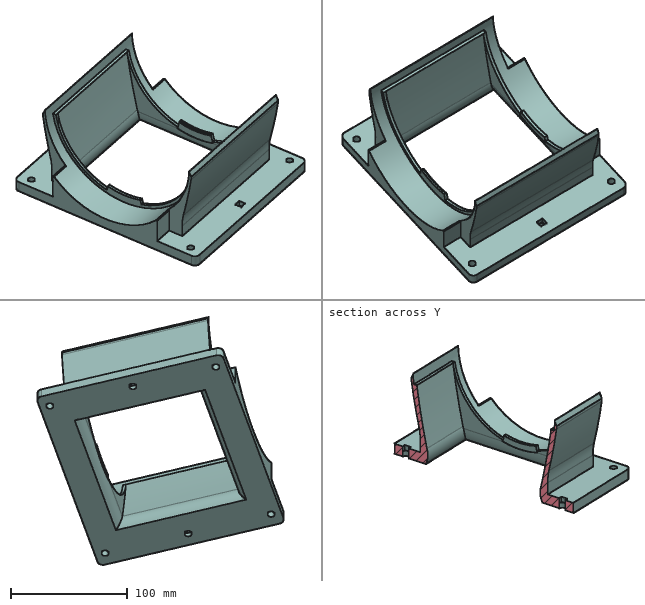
import cadquery as cq
import math

length = 190
width = 166.0
height = 83.2
base_thickness = 10.0
corner_radius = 5.0

cradle_radius = 75.0
axis_z = base_thickness + cradle_radius
lip_radius = 72.0
lip_half_width = 54.7
ledge_z = 73.2

block_half_length = 54.3
block_top = 32.1
wall_width = 130.3
wall_foot_x = 68.0
wall_bend_start_z = 21.7
wall_bend_end = (69.2, 33.5)
wall_bend_middle = (68.2, 27.5)
wall_curve_middle = (73.5, 53.4)
wall_shoulder_x = 77.3
wall_shoulder_bottom = 76
wall_shoulder_top = 78.3

opening_half_length = 59.3
opening_half_width = 51.9
flare_radius = 18.8
side_flare_z = 9.5
end_flare_z = 14.0
flare_end_angle = math.radians(20)
opening_top_x = math.sqrt(lip_radius**2 - (axis_z - ledge_z) ** 2)
opening_curve_middle = (66.3, 44.6)

tab_half_angle = math.radians(14.6)
front_tab_radius = 67.5
back_tab_radius = 65.0
back_tab_bevel = 1.0

hole_diameter = 6.0
hole_x = 83.0
hole_y = 74.1
square_pocket_side = 6.0
square_pocket_depth = 5.0


def along_y(profile, half_width):
    """Extrude an XZ profile equally to both sides of the XZ plane."""
    return profile.extrude(half_width, both=True)


def mirrored_x(body):
    return body.union(body.mirror("YZ"))


def cradle_cylinder(radius, half_width):
    return along_y(cq.Workplane("XZ").center(0, axis_z).circle(radius), half_width)


def make_base():
    plate = cq.Workplane("XY").rect(length, width).extrude(base_thickness)
    return plate.edges("|Z").fillet(corner_radius)


def make_blocks():
    return cq.Workplane("XY").rect(2 * block_half_length, width).extrude(block_top)


def make_walls():
    tip_x = math.sqrt(cradle_radius**2 - (axis_z - height) ** 2)
    profile = (
        cq.Workplane("XZ")
        .moveTo(0, 0)
        .lineTo(wall_foot_x, 0)
        .lineTo(wall_foot_x, wall_bend_start_z)
        .threePointArc(wall_bend_middle, wall_bend_end)
        .threePointArc(wall_curve_middle, (wall_shoulder_x, wall_shoulder_bottom))
        .lineTo(wall_shoulder_x, wall_shoulder_top)
        .lineTo(tip_x, height)
        .lineTo(0, height)
        .close()
    )
    return mirrored_x(along_y(profile, wall_width / 2))


def make_cradle_cut():
    """Full-radius cradle, leaving the lip below the ledge between the end ribs."""
    lip = cq.Workplane("XY").rect(length, 2 * lip_half_width).extrude(ledge_z)
    cradle = cradle_cylinder(cradle_radius, width)
    return cradle.cut(lip).union(cradle_cylinder(lip_radius, lip_half_width))


def flare_point(half_size, centre_z, angle):
    """Point on the underside flare, at an angle above its vertical tangent."""
    centre = half_size + flare_radius
    return (
        centre - flare_radius * math.cos(angle),
        centre_z + flare_radius * math.sin(angle),
    )


def make_opening():
    """Tapered sides and straight ends, both rounded outwards at the underside."""
    side_bottom_angle = -math.asin(side_flare_z / flare_radius)
    end_bottom_angle = -math.asin(end_flare_z / flare_radius)
    side_profile = (
        cq.Workplane("XZ")
        .moveTo(0, 0)
        .lineTo(*flare_point(opening_half_length, side_flare_z, side_bottom_angle))
        .threePointArc(
            flare_point(opening_half_length, side_flare_z, 0),
            flare_point(opening_half_length, side_flare_z, flare_end_angle),
        )
        .threePointArc(opening_curve_middle, (opening_top_x, ledge_z))
        .lineTo(0, ledge_z)
        .close()
    )
    ends = (
        cq.Workplane("YZ")
        .moveTo(0, 0)
        .lineTo(*flare_point(opening_half_width, end_flare_z, end_bottom_angle))
        .threePointArc(
            flare_point(opening_half_width, end_flare_z, end_bottom_angle / 2),
            flare_point(opening_half_width, end_flare_z, 0),
        )
        .lineTo(opening_half_width, ledge_z)
        .lineTo(0, ledge_z)
        .close()
        .extrude(length / 2, both=True)
    )
    ends = ends.union(ends.mirror("XZ"))
    return mirrored_x(along_y(side_profile, width / 2)).intersect(ends)


def make_tab(tip_radius):
    """Arc segment standing on the lip at the +Y end, centred on the lowest line."""
    root_radius = (lip_radius + cradle_radius) / 2
    sweep = math.degrees(2 * tab_half_angle)
    return (
        cq.Workplane("YZ")
        .moveTo(opening_half_width, axis_z - root_radius)
        .lineTo(lip_half_width, axis_z - root_radius)
        .lineTo(lip_half_width, axis_z - tip_radius)
        .lineTo(opening_half_width, axis_z - tip_radius)
        .close()
        .revolve(sweep, (0, axis_z), (1, axis_z))
        .rotate((0, 0, axis_z), (0, 1, axis_z), -sweep / 2)
    )


def make_tabs():
    """Plain low tab at the front; taller tab at the back, bevelled along its inner edge."""
    front_tab = make_tab(front_tab_radius).mirror("XZ")
    inner_edge = cq.selectors.NearestToPointSelector(
        (0, opening_half_width, axis_z - back_tab_radius)
    )
    back_tab = make_tab(back_tab_radius).edges(inner_edge).chamfer(back_tab_bevel)
    return front_tab.union(back_tab)


def cut_fixing_holes(body):
    hole_points = [(x, y) for x in (-hole_x, hole_x) for y in (-hole_y, 0, hole_y)]
    holes = (
        cq.Workplane("XY")
        .pushPoints(hole_points)
        .circle(hole_diameter / 2)
        .extrude(base_thickness)
    )
    pockets = (
        cq.Workplane("XY", origin=(0, 0, base_thickness - square_pocket_depth))
        .pushPoints([(-hole_x, 0), (hole_x, 0)])
        .rect(square_pocket_side, square_pocket_side)
        .extrude(square_pocket_depth)
    )
    return body.cut(holes).cut(pockets)


body = make_base().union(make_blocks()).union(make_walls())
body = body.cut(make_cradle_cut()).cut(make_opening()).union(make_tabs())
result = cut_fixing_holes(body)